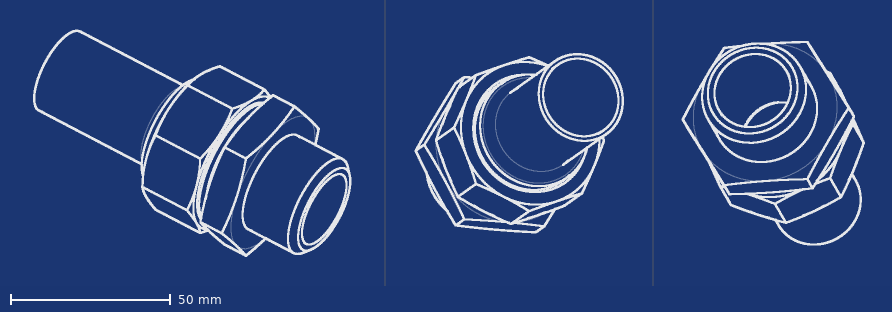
import cadquery as cq
import math

length = 101.0
tube_bore_diameter = 25.0
body_bore_diameter = 24.4

tube_diameter = 28.0
collar_diameter = 36.1
collar_start = 43.8
neck_radius = 3.0
joint_x = 57.6

nut_start = 47.8
nut_end = 67.1
nut_sides = 8
nut_across_corners = 49.8
nut_chamfer_length = 1.1
nut_mouth_diameter = 37.9
nut_mouth_depth = (nut_mouth_diameter - collar_diameter) / 2

union_thread_diameter = 41.9
union_thread_end = 67.9
relief_diameter = 37.9
relief_cone_angle = 60.0
hex_start = 71.2
hex_end = 81.4
hex_sides = 6
hex_across_corners = 53.1
hex_chamfer_length = 1.0
male_thread_diameter = 33.2
male_tip_diameter = 28.7
male_chamfer = (male_thread_diameter - male_tip_diameter) / 2


def revolve_x(profile):
    """Revolve an XY profile fully about the X axis."""
    return profile.close().revolve(360, (0, 0, 0), (1, 0, 0))


def cylinder_x(start, end, diameter):
    """Cylinder on the X axis between two stations."""
    return cq.Workplane("YZ", origin=(start, 0, 0)).circle(diameter / 2).extrude(end - start)


def chamfered_prism(start, end, sides, across_corners, chamfer_length, first_corner):
    """Regular prism along X whose corners are turned down by a cone at both ends.

    The first corner is an angle in degrees from +Y. The end faces are bounded
    by the circle that touches the flats.
    """
    corner_radius = across_corners / 2
    flat_radius = corner_radius * math.cos(math.pi / sides)
    angles = [math.radians(first_corner) + 2 * math.pi * i / sides for i in range(sides)]
    corners = [(corner_radius * math.cos(a), corner_radius * math.sin(a)) for a in angles]
    prism = cq.Workplane("YZ", origin=(start, 0, 0)).polyline(corners).close().extrude(end - start)
    envelope = revolve_x(
        cq.Workplane("XY")
        .moveTo(start, 0)
        .lineTo(start, flat_radius)
        .lineTo(start + chamfer_length, corner_radius)
        .lineTo(end - chamfer_length, corner_radius)
        .lineTo(end, flat_radius)
        .lineTo(end, 0)
    )
    return prism.intersect(envelope)


def make_tube():
    """Plain tube that swells through a concave neck into the collar."""
    tube_radius = tube_diameter / 2
    neck_start = collar_start - neck_radius
    arc_offset = neck_radius * math.sqrt(0.5)
    return revolve_x(
        cq.Workplane("XY")
        .moveTo(0, tube_bore_diameter / 2)
        .lineTo(0, tube_radius)
        .lineTo(neck_start, tube_radius)
        .threePointArc(
            (neck_start + arc_offset, tube_radius + neck_radius - arc_offset),
            (collar_start, tube_radius + neck_radius),
        )
        .lineTo(collar_start, collar_diameter / 2)
        .lineTo(joint_x, collar_diameter / 2)
        .lineTo(joint_x, tube_bore_diameter / 2)
    )


def make_nut():
    """Octagonal nut, bored for the collar and for the union thread."""
    nut = chamfered_prism(
        nut_start, nut_end, nut_sides, nut_across_corners, nut_chamfer_length, first_corner=0
    )
    bore = revolve_x(
        cq.Workplane("XY")
        .moveTo(nut_start, 0)
        .lineTo(nut_start, nut_mouth_diameter / 2)
        .lineTo(nut_start + nut_mouth_depth, collar_diameter / 2)
        .lineTo(joint_x, collar_diameter / 2)
        .lineTo(joint_x, union_thread_diameter / 2)
        .lineTo(nut_end, union_thread_diameter / 2)
        .lineTo(nut_end, 0)
    )
    return nut.cut(bore)


def make_body():
    """Union thread, relief groove, hexagonal flange and male thread in one piece."""
    relief_depth = (union_thread_diameter - relief_diameter) / 2
    relief_cone_length = relief_depth / math.tan(math.radians(relief_cone_angle))
    union_end = revolve_x(
        cq.Workplane("XY")
        .moveTo(joint_x, 0)
        .lineTo(joint_x, union_thread_diameter / 2)
        .lineTo(union_thread_end, union_thread_diameter / 2)
        .lineTo(union_thread_end + relief_cone_length, relief_diameter / 2)
        .lineTo(hex_start, relief_diameter / 2)
        .lineTo(hex_start, 0)
    )
    flange = chamfered_prism(
        hex_start, hex_end, hex_sides, hex_across_corners, hex_chamfer_length, first_corner=0
    )
    male_end = cylinder_x(hex_end, length, male_thread_diameter).faces(">X").chamfer(male_chamfer)
    bore = cylinder_x(joint_x, length, body_bore_diameter)
    return union_end.union(flange).union(male_end).cut(bore)


tube = make_tube()
nut = make_nut()
body = make_body()

result = cq.Compound.makeCompound([tube.val(), nut.val(), body.val()])